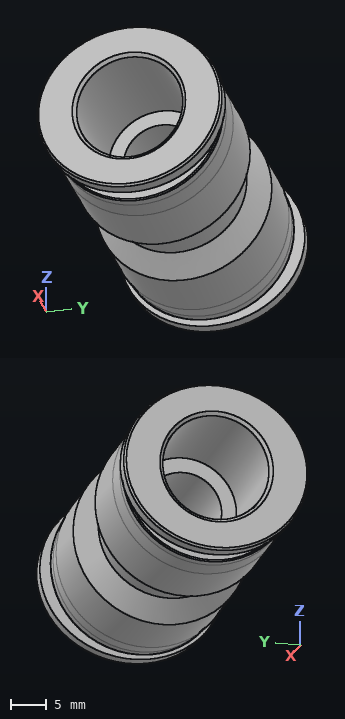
import cadquery as cq

length = 51.2
half_length = length / 2

flange_width = 26.7
flange_height = 24.5
flange_thickness = 2.3
flange_chamfer = 0.3

neck_diameter = 18.2
collar_diameter = 24.9
body_diameter = 25.5
waist_diameter = 20.0
collar_start = 4.55
collar_bevel_length = 0.3
collar_bevel_depth = 0.15
taper_start = 6.25
body_start = 9.2
shoulder_start = 19.25
waist_start = 22.75

socket_diameter = 15.3
socket_depth = shoulder_start
socket_chamfer = 0.5
passage_diameter = 11.0


def make_half_body():
    """Solid of revolution from the flange's inner face to the mid plane."""
    stations = [
        (flange_thickness, neck_diameter),
        (collar_start, neck_diameter),
        (collar_start, collar_diameter - 2 * collar_bevel_depth),
        (collar_start + collar_bevel_length, collar_diameter),
        (taper_start, collar_diameter),
        (body_start, body_diameter),
        (shoulder_start, body_diameter),
        (waist_start, waist_diameter),
        (half_length, waist_diameter),
    ]
    outline = [(inset - half_length, diameter / 2) for inset, diameter in stations]
    profile = (
        cq.Workplane("XY")
        .moveTo(flange_thickness - half_length, 0)
        .polyline(outline, includeCurrent=True)
        .lineTo(0, 0)
        .close()
    )
    return profile.revolve(360, (0, 0, 0), (1, 0, 0))


def make_flange():
    """Oval plate with its outer edge chamfered."""
    return (
        cq.Workplane("YZ", origin=(-half_length, 0, 0))
        .ellipse(flange_width / 2, flange_height / 2)
        .extrude(flange_thickness)
        .faces("<X")
        .chamfer(flange_chamfer)
    )


def make_socket():
    """Cutter for one tube socket, with a lead-in chamfer at its mouth."""
    radius = socket_diameter / 2
    mouth_radius = radius + socket_chamfer
    profile = (
        cq.Workplane("XY")
        .moveTo(-half_length, 0)
        .lineTo(-half_length, mouth_radius)
        .lineTo(-half_length + socket_chamfer, radius)
        .lineTo(-half_length + socket_depth, radius)
        .lineTo(-half_length + socket_depth, 0)
        .close()
    )
    return profile.revolve(360, (0, 0, 0), (1, 0, 0))


half = make_half_body().union(make_flange()).cut(make_socket())
passage = cq.Workplane("YZ").circle(passage_diameter / 2).extrude(half_length, both=True)
result = half.union(half.mirror("YZ")).cut(passage)